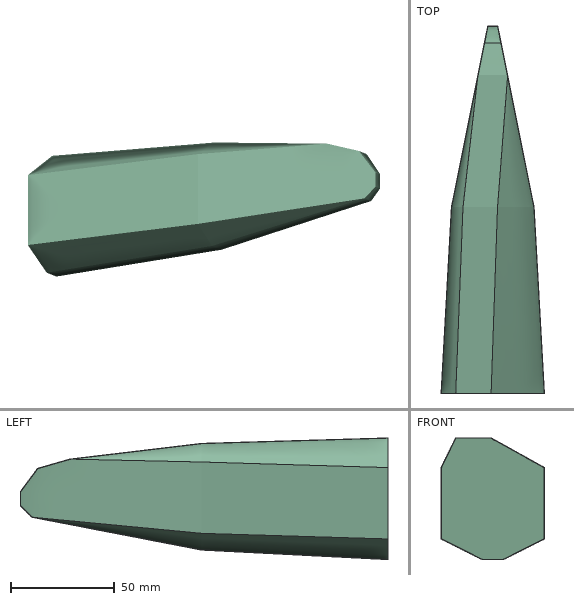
import cadquery as cq

length = 177.71
height = 58.84
shank_length = 90.0

base_half_width = 25.0
base_side_height = 34.5
base_bottom_z = -10.0
base_top_z = base_bottom_z + height
base_top_left_x = -17.9
base_top_right_x = -0.8
base_bottom_half_width = 5.1

mid_half_width = 20.0
mid_side_bottom_z = 2.7
mid_side_height = 34.5
mid_top_z = 46.2
mid_bottom_z = -5.4
mid_top_left_x = -14.4
mid_top_right_x = 2.3
mid_bottom_half_width = 5.0

end_half_width = 2.4
end_low_z = 16.0
end_high_z = 22.9
shoulder_y = 169.4
shoulder_z = 34.1
crown_y = 153.8
crown_z = 38.6
chin_y = 172.2
chin_z = 10.5


def section(y, half_width, side_bottom, side_top, top_z, bottom_z, top_left, top_right, bottom_half):
    """Eight corners of a cross section, starting at the lower left side corner."""
    return [
        cq.Vector(-half_width, y, side_bottom),
        cq.Vector(-half_width, y, side_top),
        cq.Vector(top_left, y, top_z),
        cq.Vector(top_right, y, top_z),
        cq.Vector(half_width, y, side_top),
        cq.Vector(half_width, y, side_bottom),
        cq.Vector(bottom_half, y, bottom_z),
        cq.Vector(-bottom_half, y, bottom_z),
    ]


def closed_wire(points):
    return cq.Wire.makePolygon(points, close=True)


def tip_half_width(y):
    share = (y - shank_length) / (length - shank_length)
    return mid_half_width + share * (end_half_width - mid_half_width)


def tip_edge(y, z):
    """Left and right ends of a cross edge of the tip."""
    half_width = tip_half_width(y)
    return cq.Vector(-half_width, y, z), cq.Vector(half_width, y, z)


def make_shank(base, mid):
    return cq.Solid.makeLoft([closed_wire(base), closed_wire(mid)], ruled=True)


def make_tip(mid):
    left_low, left_high, top_left, top_right, right_high, right_low, bottom_right, bottom_left = mid
    nose_edges = [
        tip_edge(crown_y, crown_z),
        tip_edge(shoulder_y, shoulder_z),
        tip_edge(length, end_high_z),
        tip_edge(length, end_low_z),
        tip_edge(chin_y, chin_z),
    ]
    nose_left = [edge[0] for edge in nose_edges]
    nose_right = [edge[1] for edge in nose_edges]
    crown_left, crown_right = nose_edges[0]
    chin_left, chin_right = nose_edges[-1]

    outlines = [
        mid,
        [left_low, left_high] + nose_left,
        [right_low, right_high] + nose_right,
        [top_left, top_right, crown_right, crown_left],
        [bottom_left, bottom_right, chin_right, chin_left],
        [left_high, top_left, crown_left],
        [right_high, top_right, crown_right],
        [left_low, bottom_left, chin_left],
        [right_low, bottom_right, chin_right],
    ]
    for upper, lower in zip(nose_edges, nose_edges[1:]):
        outlines.append([upper[0], upper[1], lower[1], lower[0]])

    faces = [cq.Face.makeFromWires(closed_wire(outline)) for outline in outlines]
    return cq.Solid.makeSolid(cq.Shell.makeShell(faces))


base_section = section(
    0.0, base_half_width, 0.0, base_side_height, base_top_z, base_bottom_z,
    base_top_left_x, base_top_right_x, base_bottom_half_width,
)
mid_section = section(
    shank_length, mid_half_width, mid_side_bottom_z, mid_side_bottom_z + mid_side_height,
    mid_top_z, mid_bottom_z, mid_top_left_x, mid_top_right_x, mid_bottom_half_width,
)

shank = make_shank(base_section, mid_section)
tip = make_tip(mid_section)
result = cq.Workplane("XY").add(shank).union(cq.Workplane("XY").add(tip))